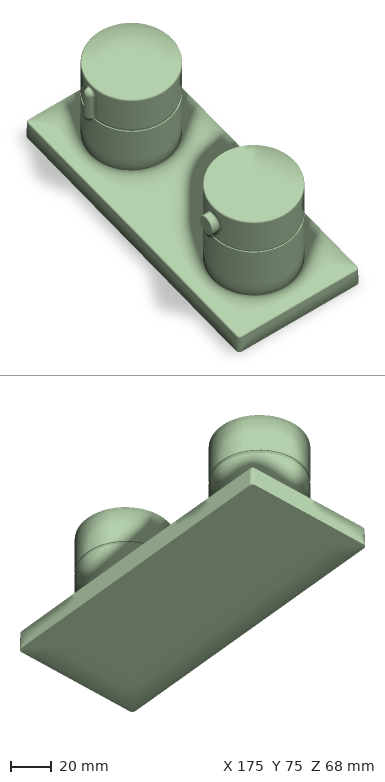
import cadquery as cq
import math

plate_length = 175.0
plate_width = 75.0
plate_end_height = 11.5
ridge_rise = 0.44
plate_side_inset = 0.4
plate_corner_radius = 2.1
plate_edge_radius = 1.0
plate_ridge_height = plate_end_height + ridge_rise

valve_spacing = 100.1
valve_diameter = 50.0
valve_radius = valve_diameter / 2
handle_edge_radius = 1.0
neck_diameter = 49.0

lever_x = -valve_spacing / 2
lever_sleeve_top = 41.6
lever_gap = 2.0
lever_handle_top = 66.0
lever_handle_bottom = lever_sleeve_top + lever_gap

lever_nose_radius = 3.0
lever_nose_offset = 0.5
lever_flare = 1.4
lever_root_depth = 1.4
lever_dome_center_z = 59.8

button_x = valve_spacing / 2
button_sleeve_top = 44.8
button_gap = 1.4
button_handle_top = 68.0

button_width = 10.0
button_height = 12.0
button_center_z = 56.7
button_reach = 29.4
button_edge_radius = 0.5


def make_plate():
    """Drafted, rounded plate whose top falls slightly from a central ridge to both ends."""
    draft = math.degrees(math.atan2(plate_side_inset, plate_ridge_height))
    block = (
        cq.Workplane("XY")
        .sketch()
        .rect(plate_length, plate_width)
        .vertices()
        .fillet(plate_corner_radius)
        .finalize()
        .extrude(plate_ridge_height, taper=draft)
    )
    half_length = plate_length / 2
    roof = (
        cq.Workplane("XZ")
        .moveTo(-half_length, 0)
        .lineTo(half_length, 0)
        .lineTo(half_length, plate_end_height)
        .lineTo(0, plate_ridge_height)
        .lineTo(-half_length, plate_end_height)
        .close()
        .extrude(plate_width / 2, both=True)
    )
    plate = block.intersect(roof)
    above_mid_height = cq.selectors.BoxSelector(
        (-plate_length, -plate_width, plate_end_height * 0.75),
        (plate_length, plate_width, plate_ridge_height * 1.25),
    )
    ridge = cq.selectors.NearestToPointSelector((0, 0, plate_ridge_height))
    top_outline = plate.edges(above_mid_height - ridge)
    return top_outline.fillet(plate_edge_radius)


def make_sleeve(x, top):
    """Fixed cylinder rising from the base plate, rooted below its sloping top."""
    root_z = plate_end_height / 2
    return cq.Workplane("XY", origin=(x, 0, root_z)).circle(valve_radius).extrude(top - root_z)


def make_base():
    """Plate and the two fixed sleeves."""
    base = make_plate()
    for x, top in ((lever_x, lever_sleeve_top), (button_x, button_sleeve_top)):
        base = base.union(make_sleeve(x, top))
    return base


def make_handle_drum(x, sleeve_top, gap, top):
    """Round handle standing on its sleeve by a narrower neck."""
    drum_bottom = sleeve_top + gap
    drum = (
        cq.Workplane("XY", origin=(x, 0, drum_bottom))
        .circle(valve_radius)
        .extrude(top - drum_bottom)
        .faces(">Z")
        .edges()
        .fillet(handle_edge_radius)
    )
    neck = cq.Workplane("XY", origin=(x, 0, sleeve_top)).circle(neck_diameter / 2).extrude(gap)
    return drum.union(neck)


def make_lever():
    """Upright half-round bar with flared flanks and a domed upper end."""
    root_y = -valve_radius + lever_root_depth
    root_half_width = lever_nose_radius + lever_flare
    nose_center_y = -valve_radius - lever_nose_offset
    nose_tip_y = nose_center_y - lever_nose_radius
    bar = (
        cq.Workplane("XY", origin=(lever_x, 0, lever_handle_bottom))
        .moveTo(-root_half_width, root_y)
        .lineTo(-lever_nose_radius, nose_center_y)
        .threePointArc((0, nose_tip_y), (lever_nose_radius, nose_center_y))
        .lineTo(root_half_width, root_y)
        .close()
        .extrude(lever_dome_center_z - lever_handle_bottom)
    )
    diagonal = lever_nose_radius * math.sqrt(0.5)
    dome = (
        cq.Workplane("XY", origin=(lever_x, 0, lever_dome_center_z))
        .moveTo(0, root_y)
        .lineTo(root_half_width, root_y)
        .lineTo(lever_nose_radius, nose_center_y)
        .threePointArc((diagonal, nose_center_y - diagonal), (0, nose_tip_y))
        .close()
        .revolve(360, (0, 0, 0), (0, 1, 0))
    )
    return bar.union(dome)


def make_lever_handle():
    drum = make_handle_drum(lever_x, lever_sleeve_top, lever_gap, lever_handle_top)
    return drum.union(make_lever())


def make_button():
    """Oval button, rooted inside the drum and rounded at its front edge."""
    root_reach = valve_radius / 2
    return (
        cq.Workplane("XZ", origin=(button_x, -root_reach, button_center_z))
        .ellipse(button_width / 2, button_height / 2)
        .extrude(button_reach - root_reach)
        .faces("<Y")
        .edges()
        .fillet(button_edge_radius)
    )


def make_button_handle():
    drum = make_handle_drum(button_x, button_sleeve_top, button_gap, button_handle_top)
    return drum.union(make_button())


base = make_base()
lever_handle = make_lever_handle()
button_handle = make_button_handle()

result = cq.Compound.makeCompound([base.val(), lever_handle.val(), button_handle.val()])